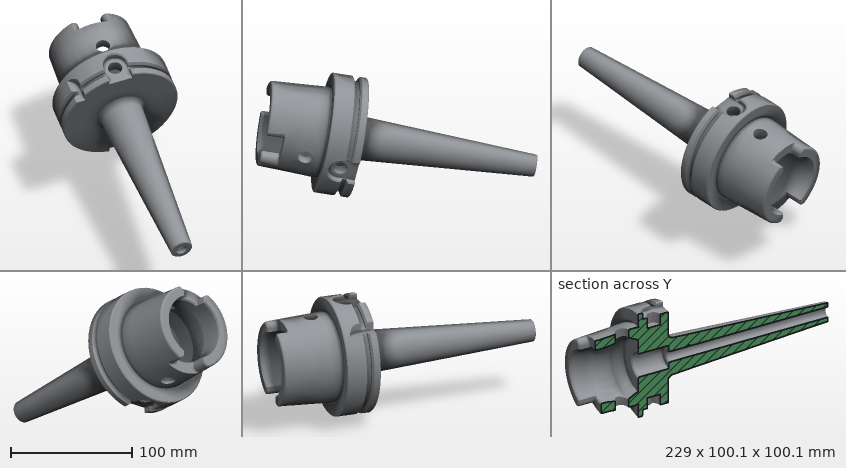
import cadquery as cq
import math


length = 229.0
flange_radius = 50.03

shank_length = 50.0
shank_end_radius = 35.5
taper_slope = 0.05
taper_end = 47.0
shank_edge_round = 1.8
shank_root_radius = shank_end_radius + taper_slope * taper_end
undercut_start = 48.5
undercut_depth = 0.5
face_recess_radius = 39.5
face_recess_depth = 0.7

flange_end = 79.0
flange_chamfer = 0.7
groove_start = 68.0
groove_end = 72.0
groove_radius = 45.8
groove_flare_width = 1.4
groove_flare_depth = 2.3

neck_radius = 18.0
neck_end = 83.5
neck_base_radius = 20.8
neck_fillet = 5.5
tip_radius = 9.27
tip_chamfer = 0.7

mouth_radius = 27.2
mouth_chamfer_length = 1.5
bore_radius = 26.3
bore_straight_depth = 20.5
bore_belly_depth = 40.0
bore_belly_radius = 30.2
bore_floor_radius = 25.0
bore_depth = 50.0
thread_radius = 12.1
thread_chamfer = 1.1
thread_depth = 79.0
through_radius = 4.8
through_mouth_radius = 6.0

keyway_half_width = 10.0
keyway_edge_round = 4.8
keyway_shoulder_height = 32.17
keyway_corner_round = 1.4
keyway_edge_chamfer = 1.1
upper_keyway_depth = 9.8
lower_keyway_depth = 15.0

cross_hole_x = 35.0
cross_hole_radius = 6.0

cutter_radius = 10.0
slot_center_x = 64.8
slot_floor_height = 44.0
slot_chamfer = 1.1
pocket_radius = 6.0
pocket_depth = 10.0

notch_center_x = 65.5
notch_offset = 31.4

margin = 2.3


def revolve_about_x(profile):
    return profile.close().revolve(360, (0, 0, 0), (1, 0, 0))


def turned_body():
    round_start_radius = shank_end_radius + taper_slope * shank_edge_round
    round_mid = shank_edge_round * (1 - math.sqrt(0.5))
    undercut_radius = shank_root_radius - undercut_depth
    neck_length = neck_end - flange_end
    arc_mid_x = neck_end - neck_length / 2
    arc_mid_rise = neck_fillet - math.sqrt(neck_fillet**2 - (neck_length / 2) ** 2)
    profile = (
        cq.Workplane("XY")
        .lineTo(0, round_start_radius - shank_edge_round)
        .threePointArc((round_mid, round_start_radius - round_mid), (shank_edge_round, round_start_radius))
        .lineTo(taper_end, shank_root_radius)
        .lineTo(undercut_start, shank_root_radius)
        .lineTo(undercut_start + undercut_depth, undercut_radius)
        .lineTo(shank_length + face_recess_depth, undercut_radius)
        .lineTo(shank_length, face_recess_radius)
        .lineTo(shank_length, flange_radius - flange_chamfer)
        .lineTo(shank_length + flange_chamfer, flange_radius)
        .lineTo(groove_start - groove_flare_width, flange_radius)
        .lineTo(groove_start, flange_radius - groove_flare_depth)
        .lineTo(groove_start, groove_radius)
        .lineTo(groove_end, groove_radius)
        .lineTo(groove_end, flange_radius - groove_flare_depth)
        .lineTo(groove_end + groove_flare_width, flange_radius)
        .lineTo(flange_end - flange_chamfer, flange_radius)
        .lineTo(flange_end, flange_radius - flange_chamfer)
        .lineTo(flange_end, neck_base_radius)
        .threePointArc((arc_mid_x, neck_radius + arc_mid_rise), (neck_end, neck_radius))
        .lineTo(length - tip_chamfer, tip_radius)
        .lineTo(length, tip_radius - tip_chamfer)
        .lineTo(length, 0)
    )
    return revolve_about_x(profile)


def bores():
    thread_bore_radius = thread_radius - thread_chamfer
    profile = (
        cq.Workplane("XY")
        .lineTo(0, mouth_radius)
        .lineTo(mouth_chamfer_length, bore_radius)
        .lineTo(bore_straight_depth, bore_radius)
        .lineTo(bore_belly_depth, bore_belly_radius)
        .lineTo(bore_depth, bore_floor_radius)
        .lineTo(bore_depth, thread_radius)
        .lineTo(bore_depth + thread_chamfer, thread_bore_radius)
        .lineTo(thread_depth, thread_bore_radius)
        .lineTo(thread_depth, through_mouth_radius)
        .lineTo(thread_depth + through_mouth_radius - through_radius, through_radius)
        .lineTo(length, through_radius)
        .lineTo(length, 0)
    )
    return revolve_about_x(profile)


def keyway_section(plane):
    """Outline of a keyway: parallel walls that flare outward over rounded edges."""
    outer = shank_root_radius + margin
    round_center_y = keyway_half_width + keyway_edge_round
    round_center_z = keyway_shoulder_height - keyway_edge_round
    diagonal = keyway_edge_round * math.sqrt(0.5)
    mid_y = round_center_y - diagonal
    mid_z = round_center_z + diagonal
    return (
        plane.moveTo(-keyway_half_width, 0)
        .lineTo(-keyway_half_width, round_center_z)
        .threePointArc((-mid_y, mid_z), (-round_center_y, keyway_shoulder_height))
        .lineTo(-outer, keyway_shoulder_height)
        .lineTo(-outer, outer)
        .lineTo(outer, outer)
        .lineTo(outer, keyway_shoulder_height)
        .lineTo(round_center_y, keyway_shoulder_height)
        .threePointArc((mid_y, mid_z), (keyway_half_width, round_center_z))
        .lineTo(keyway_half_width, 0)
        .close()
    )


def keyway(depth):
    """Cutter for a keyway in the +Z wall of the shank end."""
    slot = keyway_section(cq.Workplane("YZ")).extrude(depth).faces(">X").edges().fillet(keyway_corner_round)
    entrance = (
        keyway_section(cq.Workplane("YZ"))
        .offset2D(keyway_edge_chamfer)
        .extrude(keyway_edge_chamfer, taper=45)
    )
    floor_chamfer = revolve_about_x(
        cq.Workplane("XY", origin=(depth, 0, 0))
        .lineTo(0, bore_radius + keyway_edge_chamfer)
        .lineTo(keyway_edge_chamfer, bore_radius)
        .lineTo(keyway_edge_chamfer, 0)
    ).intersect(
        cq.Workplane("XY", origin=(depth, 0, 0)).box(
            2 * keyway_edge_chamfer,
            2 * keyway_half_width,
            shank_end_radius,
            centered=(True, True, False),
        )
    )
    return slot.union(entrance).union(floor_chamfer)


def round_ended_slot(center_x, center_y, floor_height):
    """Milled slot with its round end at the given centre, running out past the flange end."""
    run = flange_end + margin - center_x
    plane = cq.Workplane("XY", origin=(center_x, center_y, floor_height))
    passage = plane.center(run / 2, 0).rect(run, 2 * cutter_radius).extrude(flange_radius)
    return plane.circle(cutter_radius).extrude(flange_radius).union(passage)


def flange_slot():
    """Cutter for the slot at +Z, with a chamfered rim and a blind round pocket in its floor."""
    blank = (
        cq.Workplane("YZ", origin=(shank_length, 0, 0))
        .circle(flange_radius)
        .extrude(flange_end - shank_length)
    )
    rim_reach = cutter_radius + margin
    rim = cq.selectors.BoxSelector(
        (slot_center_x - rim_reach, -rim_reach, slot_floor_height + margin),
        (flange_end - slot_chamfer, rim_reach, flange_radius + margin),
    )
    slotted = blank.cut(round_ended_slot(slot_center_x, 0, slot_floor_height)).edges(rim).chamfer(slot_chamfer)
    pocket = (
        cq.Workplane("XY", origin=(slot_center_x, 0, slot_floor_height - pocket_depth))
        .circle(pocket_radius)
        .extrude(pocket_depth + margin)
    )
    return blank.cut(slotted).union(pocket)


orientation_notch = round_ended_slot(notch_center_x, -notch_offset - cutter_radius, notch_offset)

cross_hole = (
    cq.Workplane("XY", origin=(cross_hole_x, 0, -flange_radius))
    .circle(cross_hole_radius)
    .extrude(2 * flange_radius)
)

result = turned_body().cut(bores())
for turn, keyway_depth in ((0, upper_keyway_depth), (180, lower_keyway_depth)):
    for cutter in (keyway(keyway_depth), flange_slot()):
        result = result.cut(cutter.rotate((0, 0, 0), (1, 0, 0), turn))
result = result.cut(cross_hole).cut(orientation_notch)